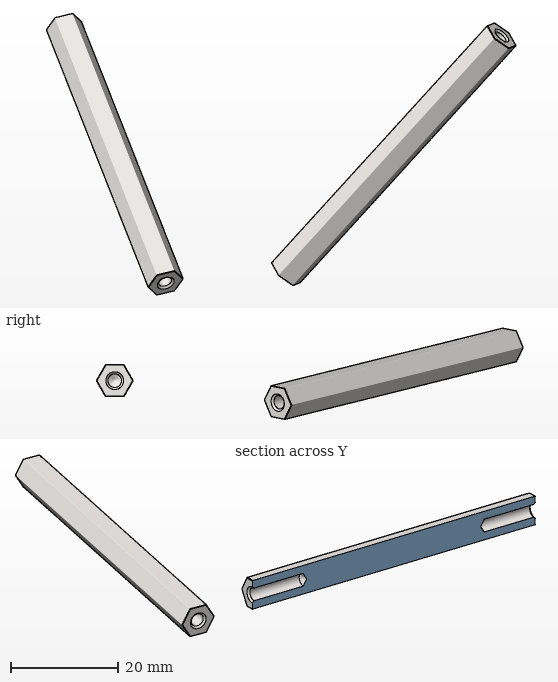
import cadquery as cq
import math

length = 65.0
across_flats = 6.0
across_corners = across_flats / math.cos(math.radians(30))

long_edge_radius = 0.1
end_chamfer = 0.1

bore_diameter = 2.55
bore_depth = 11.7
drill_point_angle = 118.0
countersink_diameter = 3.3
countersink_depth = (countersink_diameter - bore_diameter) / 2


def hex_bar():
    """Hexagonal bar with flats facing +Z and -Z, softened long edges and chamfered ends."""
    bar = cq.Workplane("YZ").polygon(6, across_corners).extrude(length / 2, both=True)
    bar = bar.edges("|X").fillet(long_edge_radius)
    return bar.faces("<X or >X").chamfer(end_chamfer)


def blind_hole():
    """Countersunk hole with a conical drill point, entering the -X end."""
    entry = -length / 2
    bore_radius = bore_diameter / 2
    point_depth = bore_radius / math.tan(math.radians(drill_point_angle / 2))
    profile = [
        (entry, 0),
        (entry, countersink_diameter / 2),
        (entry + countersink_depth, bore_radius),
        (entry + bore_depth, bore_radius),
        (entry + bore_depth + point_depth, 0),
    ]
    return cq.Workplane("XY").polyline(profile).close().revolve(360, (0, 0, 0), (1, 0, 0))


hole = blind_hole()
result = hex_bar().cut(hole).cut(hole.mirror("YZ"))